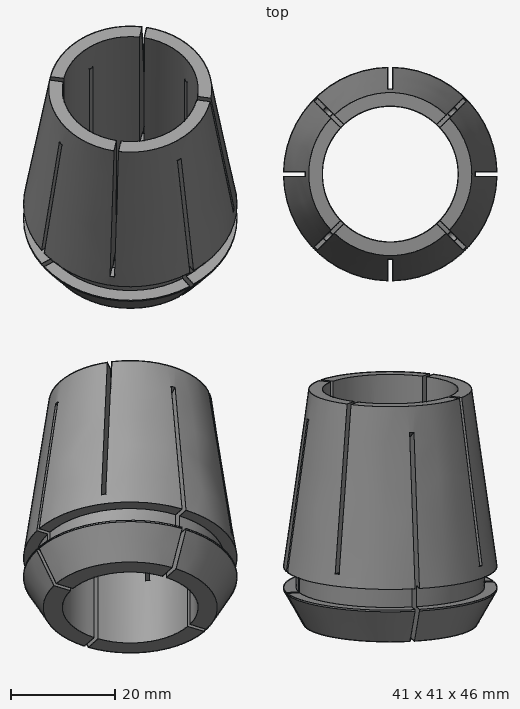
import cadquery as cq

length = 46.0
outer_diameter = 41.0
outer_radius = outer_diameter / 2
bore_radius = 13.0
top_radius = 15.65

nose_radius = 16.7
nose_height = 6.75
rim_thickness = 0.3
groove_bottom = nose_height + rim_thickness
groove_width = 4.1
groove_top = groove_bottom + groove_width
groove_radius = 18.1

slits_per_end = 4
slit_spacing = 360 / slits_per_end
slit_width = 0.87
overrun = 0.9
slit_inner_radius = bore_radius - overrun
slit_outer_radius = outer_radius + overrun

roof_bore_height = 39.3
roof_taper_height = 41.0
roof_taper_radius = 16.35
roof_slope = (roof_taper_height - roof_bore_height) / (roof_taper_radius - bore_radius)

floor_bore_height = 13.8
floor_valley_height = 13.3
floor_taper_height = 13.52
pocket_offset = 16.9
pocket_diameter = 1.85


def collet_body():
    """Revolved collet: nose cone, rim, groove and long taper around a plain bore."""
    profile = [
        (bore_radius, 0),
        (nose_radius, 0),
        (outer_radius, nose_height),
        (outer_radius, groove_bottom),
        (groove_radius, groove_bottom),
        (groove_radius, groove_top),
        (outer_radius, groove_top),
        (top_radius, length),
        (bore_radius, length),
    ]
    return cq.Workplane("XZ").polyline(profile).close().revolve(360, (0, 0), (0, 1))


def radial_slit(outline):
    """Thin plate with a (radius, height) outline, centred on the +X half plane."""
    return cq.Workplane("XZ").polyline(outline).close().extrude(slit_width / 2, both=True)


def roof_height(radius):
    return roof_bore_height + roof_slope * (radius - bore_radius)


def bottom_slit():
    return radial_slit([
        (slit_inner_radius, -overrun),
        (slit_outer_radius, -overrun),
        (slit_outer_radius, roof_height(slit_outer_radius)),
        (slit_inner_radius, roof_height(slit_inner_radius)),
    ])


def top_slit():
    slit = radial_slit([
        (slit_inner_radius, length + overrun),
        (slit_inner_radius, floor_bore_height),
        (bore_radius, floor_bore_height),
        (pocket_offset, floor_valley_height),
        (outer_radius, floor_taper_height),
        (slit_outer_radius, floor_taper_height),
        (slit_outer_radius, length + overrun),
    ])
    pocket_centre = (pocket_offset, 0, floor_valley_height)
    slit_plate = cq.Workplane("XY").box(pocket_diameter, slit_width, pocket_diameter)
    pocket = cq.Workplane("XY").sphere(pocket_diameter / 2).intersect(slit_plate).translate(pocket_centre)
    return slit.union(pocket)


def cut_around(body, cutter, first_angle):
    """Cut equally spaced copies of the cutter around the collet axis."""
    for index in range(slits_per_end):
        angle = first_angle + index * slit_spacing
        body = body.cut(cutter.rotate((0, 0, 0), (0, 0, 1), angle))
    return body


result = collet_body()
result = cut_around(result, bottom_slit(), 0)
result = cut_around(result, top_slit(), slit_spacing / 2)